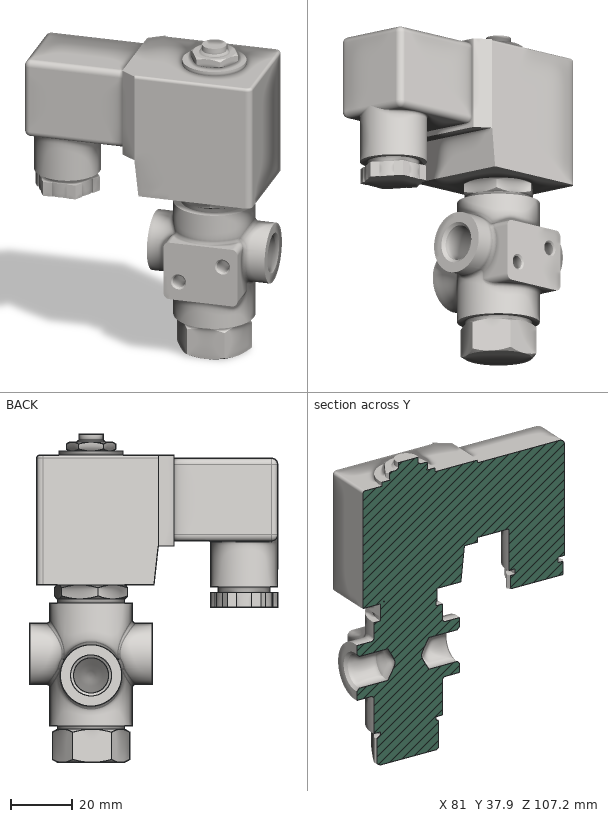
import cadquery as cq
import math

LOWER_NUT_TOP = 10.8
BODY_BOTTOM = 11.9
BODY_TOP = 52.0
UPPER_NUT_BOTTOM = 53.4
COIL_BOTTOM = 58.0
COIL_TOP = 100.3
WASHER_TOP = 101.7
TOP_NUT_TOP = 104.6
SHOULDER_TOP = 105.3
STEM_TOP = 107.2

BODY_DIA = 27.0
NECK_DIA = 22.0
BODY_MIDDLE = (BODY_BOTTOM + BODY_TOP) / 2
BLEND_RADIUS = 1.0
SEAM_TOLERANCE = 0.001

PORT_DIA = 20.0
PORT_REACH = 20.0
PORT_STAGGER = 3.5
PORT_BORE_DIA = 11.5
PORT_MOUTH_DIA = 13.4
PORT_BORE_DEPTH = 12.0
SIDE_PORT_Z = BODY_MIDDLE + PORT_STAGGER
BACK_PORT_Z = BODY_MIDDLE - PORT_STAGGER

PAD_WIDTH = 25.2
PAD_HEIGHT = 20.0
PAD_REACH = 16.0
PAD_CORNER_RADIUS = 1.9
PAD_HOLE_DIA = 4.2
PAD_HOLE_MOUTH_DIA = 5.3
PAD_HOLE_DEPTH = 6.0
PAD_HOLE_X = 7.5
DRILL_TIP_ANGLE = 118.0

HEX_SIDES = 6
BODY_NUT_FLATS = 22.0
LOWER_NUT_TURN = 1.7
UPPER_NUT_TURN = 40.4
TOP_NUT_FLATS = 14.0
NUT_CHAMFER_ANGLE = 30.0

WASHER_DIA = 21.0
SHOULDER_DIA = 9.8
STEM_DIA = 8.0

COIL_WIDTH = 35.8
COIL_RIGHT = 17.8
COIL_LEFT = -22.0
COIL_FOOT_LEFT = -20.6
COIL_CORNER_RADIUS = 2.0
COIL_TOP_RADIUS = 1.0
FLANGE_LEFT = -27.1
FLANGE_END_WIDTH = 28.7
FLANGE_BOTTOM = 70.7

PLUG_LEFT = -61.0
PLUG_SIDE = 27.0
PLUG_BOTTOM = 72.4
PLUG_RADIUS = 2.0

GLAND_DIA = 22.0
GLAND_BOTTOM = 57.4
GLAND_BLEND_RADIUS = 0.4
GLAND_NECK_DIA = 17.0
GLAND_NUT_TOP = 55.5
GLAND_NUT_BOTTOM = 50.6
GLAND_GROOVE_WIDTH = 4.9
GLAND_FLOOR_DIA = 18.8
GLAND_X = PLUG_LEFT + GLAND_DIA / 2


def cylinder(diameter, bottom, top, x=0.0):
    """Upright cylinder between two heights."""
    return cq.Workplane("XY", origin=(x, 0, bottom)).circle(diameter / 2).extrude(top - bottom)


def hex_prism(across_corners, bottom, top):
    """Upright hexagonal prism on the Z axis with two corners on the X axis."""
    outline = cq.Workplane("XY", origin=(0, 0, bottom)).polygon(HEX_SIDES, across_corners)
    return outline.extrude(top - bottom)


def hex_nut(flats, bottom, top, turn=0.0):
    """Hex nut whose corners are turned down by a cone at both ends."""
    flat_radius = flats / 2
    corner_radius = flat_radius / math.cos(math.pi / HEX_SIDES)
    drop = (corner_radius - flat_radius) * math.tan(math.radians(NUT_CHAMFER_ANGLE))
    envelope = (
        cq.Workplane("XZ")
        .moveTo(0, bottom)
        .lineTo(flat_radius, bottom)
        .lineTo(corner_radius, bottom + drop)
        .lineTo(corner_radius, top - drop)
        .lineTo(flat_radius, top)
        .lineTo(0, top)
        .close()
        .revolve(360, (0, 0, 0), (0, 1, 0))
    )
    prism = hex_prism(2 * corner_radius, bottom, top).rotate((0, 0, 0), (0, 0, 1), turn)
    return prism.intersect(envelope)


def drilled_hole(mouth, inward, diameter, mouth_diameter, depth):
    """Blind hole with a 45 degree countersunk mouth and a conical drill tip."""
    radius = diameter / 2
    mouth_radius = mouth_diameter / 2
    tip = radius / math.tan(math.radians(DRILL_TIP_ANGLE / 2))
    half_section = (
        cq.Workplane("XY")
        .moveTo(0, 0)
        .lineTo(mouth_radius, 0)
        .lineTo(radius, mouth_radius - radius)
        .lineTo(radius, depth)
        .lineTo(0, depth + tip)
        .close()
    )
    tool = half_section.revolve(360, (0, 0, 0), (0, 1, 0)).val()
    turn = math.degrees(math.atan2(inward[1], inward[0])) - 90
    tool = tool.rotate(cq.Vector(0, 0, 0), cq.Vector(0, 0, 1), turn)
    return cq.Workplane(tool.translate(cq.Vector(*mouth)))


def blended(first, second):
    """Union of two bodies with a fillet along the seam where their skins meet."""
    union = first.union(second)
    skins = [part.val().Shells()[0] for part in (first, second)]

    def on_seam(edge):
        middle = cq.Vertex.makeVertex(*edge.positionAt(0.5).toTuple())
        return all(skin.distance(middle) < SEAM_TOLERANCE for skin in skins)

    seam = [edge for edge in union.edges().vals() if on_seam(edge)]
    return union.newObject(seam).fillet(BLEND_RADIUS)


def valve_body():
    """Round body with two side ports, a back port and a mounting pad, all blended together."""
    barrel = cylinder(BODY_DIA, BODY_BOTTOM, BODY_TOP)
    side_ports = (
        cq.Workplane("YZ", origin=(-PORT_REACH, 0, SIDE_PORT_Z))
        .circle(PORT_DIA / 2)
        .extrude(2 * PORT_REACH)
    )
    back_port = (
        cq.Workplane("XZ", origin=(0, 0, BACK_PORT_Z))
        .circle(PORT_DIA / 2)
        .extrude(-PORT_REACH)
    )
    pad = (
        cq.Workplane("XZ", origin=(0, 0, BODY_MIDDLE))
        .rect(PAD_WIDTH, PAD_HEIGHT)
        .extrude(PAD_REACH)
        .edges("|Y")
        .fillet(PAD_CORNER_RADIUS)
    )
    body = blended(barrel, pad)
    body = body.union(blended(barrel, back_port))
    return blended(body, side_ports)


def cut_port_bores(body):
    """Blind bore in the end of each port."""
    ports = [
        ((-PORT_REACH, 0, SIDE_PORT_Z), (1, 0)),
        ((PORT_REACH, 0, SIDE_PORT_Z), (-1, 0)),
        ((0, PORT_REACH, BACK_PORT_Z), (0, -1)),
    ]
    for mouth, inward in ports:
        body = body.cut(drilled_hole(mouth, inward, PORT_BORE_DIA, PORT_MOUTH_DIA, PORT_BORE_DEPTH))
    return body


def cut_pad_holes(body):
    """Two small holes in the pad, one at the height of each port level."""
    for x, z in ((PAD_HOLE_X, SIDE_PORT_Z), (-PAD_HOLE_X, BACK_PORT_Z)):
        mouth = (x, -PAD_REACH, z)
        body = body.cut(drilled_hole(mouth, (0, 1), PAD_HOLE_DIA, PAD_HOLE_MOUTH_DIA, PAD_HOLE_DEPTH))
    return body


def coil_housing():
    """Coil box with a slanted foot and a tapered flange facing the plug."""
    side_outline = [
        (COIL_FOOT_LEFT, COIL_BOTTOM),
        (COIL_RIGHT, COIL_BOTTOM),
        (COIL_RIGHT, COIL_TOP),
        (COIL_LEFT, COIL_TOP),
        (COIL_LEFT, FLANGE_BOTTOM),
    ]
    box = (
        cq.Workplane("XZ", origin=(0, COIL_WIDTH / 2, 0))
        .polyline(side_outline)
        .close()
        .extrude(COIL_WIDTH)
        .edges("|Z and >X")
        .fillet(COIL_CORNER_RADIUS)
    )
    top_edges = box.faces(">Z").edges().filter(lambda edge: edge.Center().x > COIL_FOOT_LEFT)
    box = top_edges.fillet(COIL_TOP_RADIUS)
    flange = (
        cq.Workplane("XY", origin=(0, 0, FLANGE_BOTTOM))
        .polyline(
            [
                (COIL_LEFT, -COIL_WIDTH / 2),
                (COIL_LEFT, COIL_WIDTH / 2),
                (FLANGE_LEFT, FLANGE_END_WIDTH / 2),
                (FLANGE_LEFT, -FLANGE_END_WIDTH / 2),
            ]
        )
        .close()
        .extrude(COIL_TOP - FLANGE_BOTTOM)
    )
    return box.union(flange)


def plug_connector():
    """Square plug with rounded edges, plain where it meets the flange."""
    length = FLANGE_LEFT - PLUG_LEFT
    return (
        cq.Workplane("XY", origin=(PLUG_LEFT, 0, PLUG_BOTTOM))
        .box(length, PLUG_SIDE, PLUG_SIDE, centered=(False, True, False))
        .edges("|X or <X")
        .fillet(PLUG_RADIUS)
    )


def gland_nut():
    """Hexagonal gland nut with a round-bottomed flute down the middle of each flat."""
    prism = hex_prism(GLAND_DIA, GLAND_NUT_BOTTOM, GLAND_NUT_TOP)
    core = cylinder(GLAND_FLOOR_DIA, GLAND_NUT_BOTTOM, GLAND_NUT_TOP)
    flute = (
        cq.Workplane("XY", origin=(0, GLAND_DIA / 2, GLAND_NUT_BOTTOM))
        .rect(GLAND_GROOVE_WIDTH, GLAND_DIA)
        .extrude(GLAND_NUT_TOP - GLAND_NUT_BOTTOM)
        .cut(core)
    )
    for step in range(HEX_SIDES):
        prism = prism.cut(flute.rotate((0, 0, 0), (0, 0, 1), step * 360 / HEX_SIDES))
    return prism.translate((GLAND_X, 0, 0))


def gland_blend():
    """Fillet between the gland sleeve and the flat part of the plug's underside."""
    sleeve_radius = GLAND_DIA / 2
    outer_radius = sleeve_radius + GLAND_BLEND_RADIUS
    low = PLUG_BOTTOM - GLAND_BLEND_RADIUS
    arc_offset = GLAND_BLEND_RADIUS * math.sqrt(0.5)
    ring = (
        cq.Workplane("XZ", origin=(GLAND_X, 0, 0))
        .moveTo(0, low)
        .lineTo(sleeve_radius, low)
        .threePointArc((outer_radius - arc_offset, low + arc_offset), (outer_radius, PLUG_BOTTOM))
        .lineTo(0, PLUG_BOTTOM)
        .close()
        .revolve(360, (0, 0, 0), (0, 1, 0))
    )
    flat_area = cq.Workplane("XY", origin=(PLUG_LEFT + PLUG_RADIUS, 0, low)).box(
        PLUG_SIDE, PLUG_SIDE, GLAND_BLEND_RADIUS, centered=(False, True, False)
    )
    return ring.intersect(flat_area)


def cable_gland():
    """Sleeve, neck and nut hanging from the plug."""
    sleeve = cylinder(GLAND_DIA, GLAND_BOTTOM, PLUG_BOTTOM + PLUG_SIDE / 2, GLAND_X)
    neck = cylinder(GLAND_NECK_DIA, GLAND_NUT_TOP, GLAND_BOTTOM, GLAND_X)
    return sleeve.union(gland_blend()).union(neck).union(gland_nut())


def stem():
    """Washer, top nut and the stem end with its conical shoulder."""
    washer = cylinder(WASHER_DIA, COIL_TOP, WASHER_TOP)
    nut = hex_nut(TOP_NUT_FLATS, WASHER_TOP, TOP_NUT_TOP)
    shoulder = (
        cq.Workplane("XY", origin=(0, 0, TOP_NUT_TOP))
        .circle(SHOULDER_DIA / 2)
        .workplane(offset=SHOULDER_TOP - TOP_NUT_TOP)
        .circle(STEM_DIA / 2)
        .loft()
    )
    end = cylinder(STEM_DIA, SHOULDER_TOP, STEM_TOP)
    return washer.union(nut).union(shoulder).union(end)


lower_nut = hex_nut(BODY_NUT_FLATS, 0, LOWER_NUT_TOP, LOWER_NUT_TURN)
lower_neck = cylinder(NECK_DIA, LOWER_NUT_TOP, BODY_BOTTOM)
upper_neck = cylinder(NECK_DIA, BODY_TOP, UPPER_NUT_BOTTOM)
upper_nut = hex_nut(BODY_NUT_FLATS, UPPER_NUT_BOTTOM, COIL_BOTTOM, UPPER_NUT_TURN)
body = cut_pad_holes(cut_port_bores(valve_body()))

result = body
for part in (
    lower_neck,
    lower_nut,
    upper_neck,
    upper_nut,
    coil_housing(),
    plug_connector(),
    cable_gland(),
    stem(),
):
    result = result.union(part)